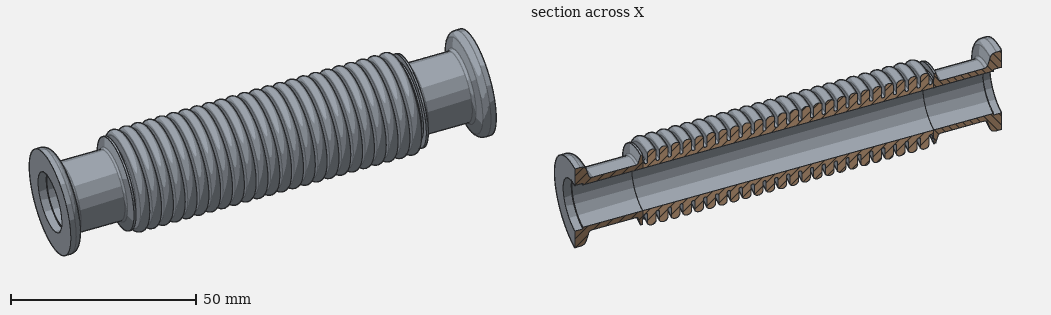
import cadquery as cq
import math


length = 123.8
half_length = length / 2
bore_radius = 7.9

flange_radius = 15.0
flange_round_radius = 1.9
tube_radius = 10.0
taper_angle = 15.0
flange_fillet = 0.9
collar_fillet = 0.6
flange_taper_end = 4.3
recess_radius = 8.5
recess_depth = 2.4
collar_radius = 13.2
collar_lip_width = 0.6
fitting_length = 19.7

ring_count = 24
ring_span = 79.1
ring_width = 2.6
crest_radius = 14.4
root_radius = 9.5
end_disc_radius = 11.3
bellows_length = length - 2 * fitting_length
pitch = ring_span / (ring_count - 1)
crest_round = ring_width / 2
root_round = (pitch - ring_width) / 2


def taper_rise(radius_change):
    """Axial distance covered by the taper over a change in radius."""
    return radius_change * math.tan(math.radians(taper_angle))


def circle_edges_at(body, radius, y):
    """Circular edges of the body that have the given radius and lie at the given Y."""
    tolerance = 0.01
    return body.edges("%CIRCLE").filter(
        lambda edge: abs(edge.radius() - radius) < tolerance and abs(edge.Center().y - y) < tolerance
    )


def make_fitting():
    """Flanged tube end with its end face at Y = -half_length."""
    end_face = -half_length
    inner_face = end_face + fitting_length
    flange_taper_root = end_face + flange_taper_end
    flange_taper_rim = flange_taper_root - taper_rise(flange_radius - tube_radius)
    collar_taper_rim = inner_face - collar_lip_width
    collar_taper_root = collar_taper_rim - taper_rise(collar_radius - tube_radius)

    body = (
        cq.Workplane("XY")
        .moveTo(bore_radius, inner_face)
        .lineTo(bore_radius, end_face + recess_depth)
        .lineTo(recess_radius, end_face + recess_depth)
        .lineTo(recess_radius, end_face)
        .lineTo(flange_radius, end_face)
        .lineTo(flange_radius, flange_taper_rim)
        .lineTo(tube_radius, flange_taper_root)
        .lineTo(tube_radius, collar_taper_root)
        .lineTo(collar_radius, collar_taper_rim)
        .lineTo(collar_radius, inner_face)
        .close()
        .revolve(360, (0, 0, 0), (0, 1, 0))
    )
    body = circle_edges_at(body, flange_radius, flange_taper_rim).fillet(flange_round_radius)
    body = circle_edges_at(body, tube_radius, flange_taper_root).fillet(flange_fillet)
    return circle_edges_at(body, tube_radius, collar_taper_root).fillet(collar_fillet)


def add_root(profile, centre_y):
    """Continue the outline inward, round one root groove and back out to its far wall."""
    arc_radius = root_radius + root_round
    return (
        profile.lineTo(arc_radius, centre_y - root_round)
        .threePointArc((root_radius, centre_y), (arc_radius, centre_y + root_round))
    )


def add_crest(profile, centre_y):
    """Continue the outline outward, round one ring crest."""
    arc_radius = crest_radius - crest_round
    return (
        profile.lineTo(arc_radius, centre_y - crest_round)
        .threePointArc((crest_radius, centre_y), (arc_radius, centre_y + crest_round))
    )


def make_bellows():
    """Corrugated sleeve with full-round crests and roots and a small disc at each end."""
    half_bellows = bellows_length / 2
    first_ring = -ring_span / 2
    first_root = first_ring - pitch / 2
    last_root = -first_root

    profile = (
        cq.Workplane("XY")
        .moveTo(bore_radius, -half_bellows)
        .lineTo(end_disc_radius, -half_bellows)
        .lineTo(end_disc_radius, first_root - root_round)
    )
    profile = add_root(profile, first_root)
    for ring in range(ring_count):
        ring_y = first_ring + ring * pitch
        profile = add_crest(profile, ring_y)
        profile = add_root(profile, ring_y + pitch / 2)
    return (
        profile.lineTo(end_disc_radius, last_root + root_round)
        .lineTo(end_disc_radius, half_bellows)
        .lineTo(bore_radius, half_bellows)
        .close()
        .revolve(360, (0, 0, 0), (0, 1, 0))
    )


bellows = make_bellows()
fittings = [make_fitting().rotate((0, 0, 0), (0, 0, 1), angle) for angle in (0, 180)]

result = cq.Compound.makeCompound([bellows.val(), *[fitting.solids().val() for fitting in fittings]])